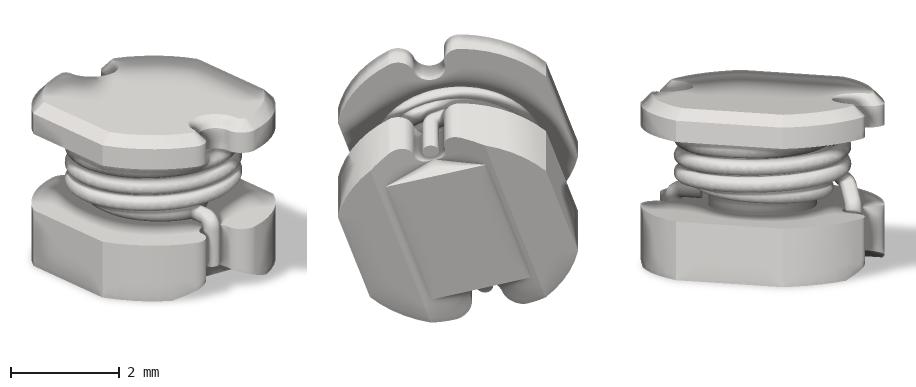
import cadquery as cq
import math

core_width_y = 4.0
core_height = 3.2
flange_radius = 2.25
base_height = 1.1
top_flange_height = 0.6
top_chamfer = 0.2
post_diameter = 2.0

notch_radius = 0.3
lip_radius = 0.3

recess_width = 2.2
recess_depth = 0.4
recess_middle_depth = 0.05
recess_wall_run = 0.1

wire_diameter = 0.3
post_clearance = 0.01
inner_layer_radius = (post_diameter + wire_diameter) / 2 + post_clearance
outer_layer_radius = 1.485
inner_start_z = 1.288
inner_end_z = 2.4
inner_turns = 3.5
crossover_turns = 0.25
outer_start_z = 2.416
outer_pitch = 0.325
outer_turns = 2.66
points_per_turn = 24

lead_end_z = recess_depth
exit_lead_x = 1.73
exit_bend_radius = 0.17
return_lead_x = -1.755
return_knee_z = 1.21
return_straight = 0.54
return_bend_radius = 0.2

half_width = core_width_y / 2
flat_half_length = math.sqrt(flange_radius**2 - half_width**2)
lip_centre_y = notch_radius + lip_radius
lip_centre_distance = flange_radius - lip_radius
notch_centre_x = math.sqrt(lip_centre_distance**2 - lip_centre_y**2)
notch_end_x = notch_centre_x - notch_radius


def polar(radius, angle):
    return (radius * math.cos(angle), radius * math.sin(angle))


def mirrored(point, x_sign, y_sign):
    return (x_sign * point[0], y_sign * point[1])


def flange(bottom_z, height):
    """Disc with two flats, and a notch with rounded lips at each X end."""
    corner_angle = math.atan2(half_width, flat_half_length)
    lip_angle = math.atan2(lip_centre_y, notch_centre_x)
    lip_end = polar(flange_radius, lip_angle)
    rim_middle = polar(flange_radius, (corner_angle + lip_angle) / 2)
    lip_middle_step = polar(lip_radius, (lip_angle - math.pi / 2) / 2)
    lip_middle = (notch_centre_x + lip_middle_step[0], lip_centre_y + lip_middle_step[1])

    corner = (flat_half_length, half_width)
    notch_mouth = (notch_centre_x, notch_radius)
    notch_end = (notch_end_x, 0)

    outline = cq.Workplane("XY").workplane(offset=bottom_z).moveTo(-flat_half_length, half_width)
    for side in (1, -1):
        outline = (
            outline.lineTo(*mirrored(corner, side, side))
            .threePointArc(mirrored(rim_middle, side, side), mirrored(lip_end, side, side))
            .threePointArc(mirrored(lip_middle, side, side), mirrored(notch_mouth, side, side))
            .threePointArc(mirrored(notch_end, side, side), mirrored(notch_mouth, side, -side))
            .threePointArc(mirrored(lip_middle, side, -side), mirrored(lip_end, side, -side))
            .threePointArc(mirrored(rim_middle, side, -side), mirrored(corner, side, -side))
        )
    return outline.close().extrude(height)


def base_recess():
    """V-shaped groove along X whose middle part is filled to a shallow depth."""
    groove = (
        cq.Workplane("YZ")
        .polyline([(-recess_width / 2, 0), (recess_width / 2, 0), (0, recess_depth)])
        .close()
        .extrude(flange_radius, both=True)
    )
    wall_foot_x = notch_end_x - recess_wall_run
    middle = (
        cq.Workplane("XZ")
        .polyline(
            [
                (-wall_foot_x, recess_middle_depth),
                (wall_foot_x, recess_middle_depth),
                (notch_end_x, recess_depth),
                (-notch_end_x, recess_depth),
            ]
        )
        .close()
        .extrude(recess_width, both=True)
    )
    return groove.cut(middle)


def make_core():
    base = flange(0, base_height).cut(base_recess())
    top_flange = flange(core_height - top_flange_height, top_flange_height)
    top_flange = top_flange.faces(">Z").chamfer(top_chamfer)
    post_height = core_height - top_flange_height - base_height
    post = cq.Workplane("XY").workplane(offset=base_height).circle(post_diameter / 2).extrude(post_height)
    return base.union(post).union(top_flange)


def coil_point(turn):
    """Point on the wire centreline, turning clockwise from +X as seen from above."""
    outer_start = inner_turns + crossover_turns
    if turn <= inner_turns:
        radius = inner_layer_radius
        z = inner_start_z + (inner_end_z - inner_start_z) * turn / inner_turns
    elif turn < outer_start:
        blend = (1 - math.cos(math.pi * (turn - inner_turns) / crossover_turns)) / 2
        radius = inner_layer_radius + (outer_layer_radius - inner_layer_radius) * blend
        z = inner_end_z + (outer_start_z - inner_end_z) * blend
    else:
        radius = outer_layer_radius
        z = outer_start_z - outer_pitch * (turn - outer_start)
    x, y = polar(radius, -2 * math.pi * turn)
    return cq.Vector(x, y, z)


def bend(before, knee, after, bend_radius):
    """Arc that rounds the knee between two straight runs of wire."""
    towards_before = (before - knee).normalized()
    towards_after = (after - knee).normalized()
    half_angle = towards_before.getAngle(towards_after) / 2
    setback = bend_radius / math.tan(half_angle)
    bisector = (towards_before + towards_after).normalized()
    middle = knee + bisector * (bend_radius / math.sin(half_angle) - bend_radius)
    return cq.Edge.makeThreePointArc(knee + towards_before * setback, middle, knee + towards_after * setback)


def wire_along(edges):
    """Round wire swept along joined edges, starting square to the first one."""
    path = cq.Wire.assembleEdges(edges)
    section = cq.Plane(origin=edges[0].startPoint(), normal=edges[0].tangentAt(0))
    return cq.Workplane(section).circle(wire_diameter / 2).sweep(cq.Workplane(path), isFrenet=False)


def coil_with_return_lead():
    """Both layers, then the lead that slants down into the -X notch."""
    total_turns = inner_turns + crossover_turns + outer_turns
    steps = math.ceil(total_turns * points_per_turn)
    coil = cq.Edge.makeSpline([coil_point(total_turns * i / steps) for i in range(steps + 1)])

    coil_end = coil.endPoint()
    upper_knee = coil_end + coil.tangentAt(1).normalized() * return_straight
    lower_knee = cq.Vector(return_lead_x, 0, return_knee_z)
    lead_end = cq.Vector(return_lead_x, 0, lead_end_z)
    upper_bend = bend(coil_end, upper_knee, lower_knee, return_bend_radius)
    lower_bend = bend(upper_knee, lower_knee, lead_end, return_bend_radius)
    return wire_along(
        [
            coil,
            cq.Edge.makeLine(coil_end, upper_bend.startPoint()),
            upper_bend,
            cq.Edge.makeLine(upper_bend.endPoint(), lower_bend.startPoint()),
            lower_bend,
            cq.Edge.makeLine(lower_bend.endPoint(), lead_end),
        ]
    )


def exit_lead():
    """Lead from the bottom of the inner layer, out and down into the +X notch."""
    coil_start = coil_point(0)
    knee = cq.Vector(exit_lead_x, 0, inner_start_z)
    lead_end = cq.Vector(exit_lead_x, 0, lead_end_z)
    corner = bend(coil_start, knee, lead_end, exit_bend_radius)
    return wire_along(
        [
            cq.Edge.makeLine(coil_start, corner.startPoint()),
            corner,
            cq.Edge.makeLine(corner.endPoint(), lead_end),
        ]
    )


core = make_core()
winding = coil_with_return_lead().union(exit_lead())

result = cq.Compound.makeCompound([core.solids().val(), winding.solids().val()])